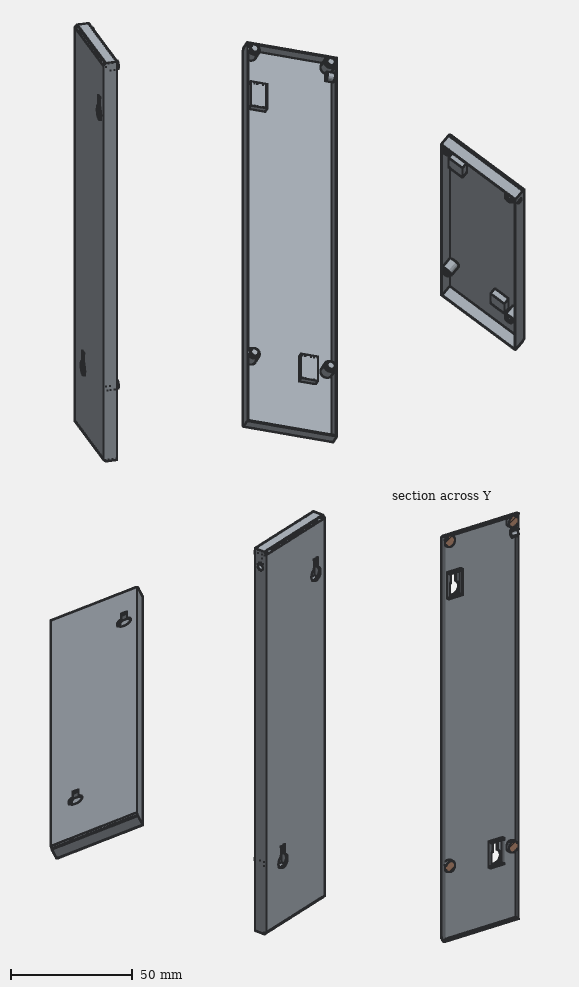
import cadquery as cq

LENGTH = 181.0
WIDTH = 39.0
TRAY_DEPTH = 6.0
WALL = 0.5
FRONT_WALL = 0.9
BEVEL = 1.0

END_Z = LENGTH / 2
SIDE_X = WIDTH / 2
FRONT_Y = 0.0
INNER_Y = FRONT_Y + FRONT_WALL
REAR_Y = FRONT_Y + TRAY_DEPTH

PIN_DIAMETER = 3.5
PIN_PROTRUSION = 1.0
POST_DIAMETER = 5.0
PIN_INSET = 2.9
PIN_LEVEL_SPACING = 145.2
PIN_X = SIDE_X - PIN_INSET
UPPER_PIN_Z = END_Z - PIN_INSET
LOWER_PIN_Z = UPPER_PIN_Z - PIN_LEVEL_SPACING

KEYHOLE_CENTERS = [(13.5, 65.5), (-8.3, -60.5)]
KEYHOLE_DIAMETER = 6.2
KEYHOLE_SLOT_WIDTH = 2.7
KEYHOLE_SLOT_REACH = 7.5
BOX_DEPTH = 3.3

SIDE_HOLE_DIAMETER = 2.5
SIDE_TUBE_DIAMETER = 4.0
SIDE_TUBE_LENGTH = 3.6
SIDE_HOLE_Y = FRONT_Y + 3.0
SIDE_HOLE_Z = END_Z - 8.0


def block(x_range, y_range, z_range):
    """Box between the given limits on each axis."""
    (x0, x1), (y0, y1), (z0, z1) = x_range, y_range, z_range
    size = (x1 - x0, y1 - y0, z1 - z0)
    return cq.Workplane("XY").box(*size, centered=False).translate((x0, y0, z0))


def cylinder_along_y(diameter, x, z, y_start, y_end):
    profile = cq.Workplane("XZ", origin=(x, y_start, z)).circle(diameter / 2)
    return profile.extrude(y_start - y_end)


def side_cylinder(diameter):
    """Cylinder running inward from the outer face of the -X wall."""
    start = (-SIDE_X, SIDE_HOLE_Y, SIDE_HOLE_Z)
    return cq.Workplane("YZ", origin=start).circle(diameter / 2).extrude(SIDE_TUBE_LENGTH)


def make_tray():
    body = block((-SIDE_X, SIDE_X), (FRONT_Y, REAR_Y), (-END_Z, END_Z))
    body = body.faces("<Y").edges("|X").chamfer(BEVEL)
    cavity = block(
        (-SIDE_X + WALL, SIDE_X - WALL),
        (INNER_Y, REAR_Y),
        (-END_Z + WALL, END_Z - WALL),
    )
    return body.cut(cavity)


def make_pin(x, z):
    post = cylinder_along_y(POST_DIAMETER, x, z, INNER_Y, REAR_Y)
    pin = cylinder_along_y(PIN_DIAMETER, x, z, REAR_Y, REAR_Y + PIN_PROTRUSION)
    return post.union(pin)


def keyhole_box(x, z, wall):
    """Box that just encloses the keyhole, grown on all sides but the front by wall."""
    half_width = KEYHOLE_DIAMETER / 2 + wall
    return block(
        (x - half_width, x + half_width),
        (INNER_Y, FRONT_Y + BOX_DEPTH + wall),
        (z - half_width, z + KEYHOLE_SLOT_REACH + wall),
    )


def keyhole_opening(x, z):
    """Round hole with a slot above it; the slot end is an arc about the hole center."""
    hole = cylinder_along_y(KEYHOLE_DIAMETER, x, z, FRONT_Y, INNER_Y)
    half_slot = KEYHOLE_SLOT_WIDTH / 2
    slot = block(
        (x - half_slot, x + half_slot),
        (FRONT_Y, INNER_Y),
        (z, z + KEYHOLE_SLOT_REACH),
    )
    slot_limit = cylinder_along_y(2 * KEYHOLE_SLOT_REACH, x, z, FRONT_Y, INNER_Y)
    return hole.union(slot.intersect(slot_limit))


result = make_tray()

for pin_x in (-PIN_X, PIN_X):
    for pin_z in (LOWER_PIN_Z, UPPER_PIN_Z):
        result = result.union(make_pin(pin_x, pin_z))

for hole_x, hole_z in KEYHOLE_CENTERS:
    result = result.union(keyhole_box(hole_x, hole_z, WALL))
    result = result.cut(keyhole_box(hole_x, hole_z, 0))
    result = result.cut(keyhole_opening(hole_x, hole_z))

result = result.union(side_cylinder(SIDE_TUBE_DIAMETER))
result = result.cut(side_cylinder(SIDE_HOLE_DIAMETER))